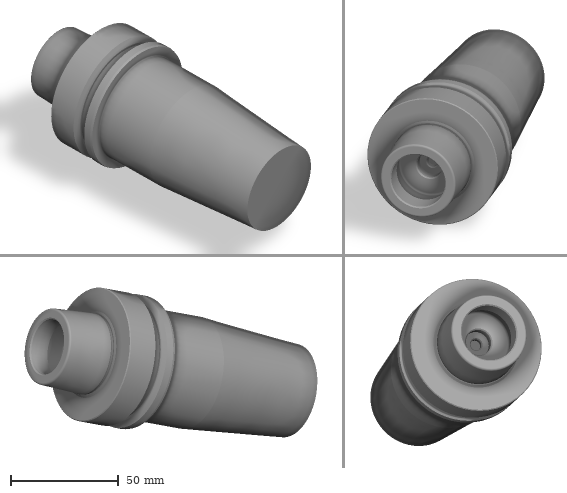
import cadquery as cq

overall_length = 140.0

shank_length = 25.0
taper_length = 23.0
tip_radius = 18.0
tip_rounding = 1.0
taper_root_radius = 19.2
relief_radius = 18.9
relief_start = 23.7
collar_start = 24.5
collar_radius = 19.5
collar_base_radius = 20.5

flange_radius = 31.5
flange_length = 25.9
flange_front_chamfer = 0.4
flange_back_bevel_length = 1.1
flange_back_bevel_depth = 0.3

groove_start = 14.4
groove_floor_start = 16.0
groove_floor_end = 19.6
groove_end = 21.1
groove_wall_foot_radius = 28.7
groove_floor_radius = 27.6

body_radius = 26.5
body_fillet = 0.5
body_cylinder_end = 82.7
nose_radius = 22.0

bore_radius = 13.0
bore_chamfer = 0.5
lip_length = 10.0
undercut_radius = 14.5
undercut_floor = 19.9
undercut_floor_fillet = 1.0

counterbore_radius = 6.0
counterbore_depth = 5.0
pilot_radius = 2.5
pilot_depth = 2.8
small_hole_chamfer = 0.5


def revolve_about_x(outline):
    """Turn a closed half profile (X along the axis, Z as radius) into a solid."""
    return outline.close().revolve(360, (0, 0, 0), (1, 0, 0))


def make_outer_body():
    flange_start = shank_length
    flange_end = flange_start + flange_length

    outline = (
        cq.Workplane("XZ")
        .lineTo(0, tip_radius - tip_rounding)
        .radiusArc((tip_rounding, tip_radius), tip_rounding)
        .lineTo(taper_length, taper_root_radius)
        .lineTo(relief_start, relief_radius)
        .lineTo(collar_start, relief_radius)
        .lineTo(collar_start, collar_radius)
        .lineTo(flange_start, collar_base_radius)
    )
    outline = (
        outline
        .lineTo(flange_start, flange_radius - flange_front_chamfer)
        .lineTo(flange_start + flange_front_chamfer, flange_radius)
        .lineTo(flange_start + groove_start, flange_radius)
        .lineTo(flange_start + groove_floor_start, groove_wall_foot_radius)
        .lineTo(flange_start + groove_floor_start, groove_floor_radius)
        .lineTo(flange_start + groove_floor_end, groove_floor_radius)
        .lineTo(flange_start + groove_floor_end, groove_wall_foot_radius)
        .lineTo(flange_start + groove_end, flange_radius)
        .lineTo(flange_end - flange_back_bevel_length, flange_radius)
        .lineTo(flange_end, flange_radius - flange_back_bevel_depth)
    )
    outline = (
        outline
        .lineTo(flange_end, body_radius + body_fillet)
        .radiusArc((flange_end + body_fillet, body_radius), -body_fillet)
        .lineTo(body_cylinder_end, body_radius)
        .lineTo(overall_length, nose_radius)
        .lineTo(overall_length, 0)
    )
    return revolve_about_x(outline)


def make_clamping_bore():
    outline = (
        cq.Workplane("XZ")
        .lineTo(0, bore_radius + bore_chamfer)
        .lineTo(bore_chamfer, bore_radius)
        .lineTo(lip_length, bore_radius)
        .lineTo(lip_length, undercut_radius)
        .lineTo(undercut_floor - undercut_floor_fillet, undercut_radius)
        .radiusArc(
            (undercut_floor, undercut_radius - undercut_floor_fillet), undercut_floor_fillet
        )
        .lineTo(undercut_floor, 0)
    )
    return revolve_about_x(outline)


def make_chamfered_hole(mouth, radius, depth):
    """Blind hole running in +X from X = mouth, chamfered at 45 degrees."""
    outline = cq.Workplane("XZ").polyline([
        (mouth, 0),
        (mouth, radius + small_hole_chamfer),
        (mouth + small_hole_chamfer, radius),
        (mouth + depth, radius),
        (mouth + depth, 0),
    ])
    return revolve_about_x(outline)


counterbore_floor = undercut_floor + counterbore_depth

result = (
    make_outer_body()
    .cut(make_clamping_bore())
    .cut(make_chamfered_hole(undercut_floor, counterbore_radius, counterbore_depth))
    .cut(make_chamfered_hole(counterbore_floor, pilot_radius, pilot_depth))
)